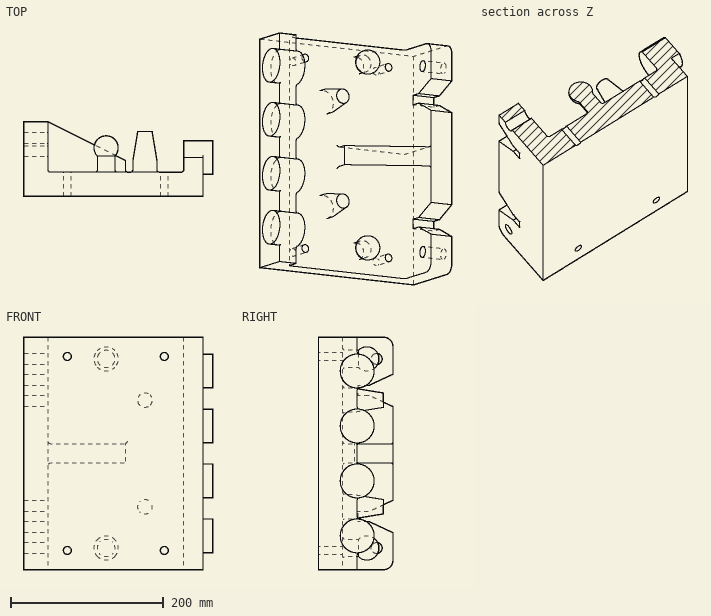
import cadquery as cq
import math

INCH = 25.4

plate_length = 9.25 * INCH
plate_height = 12.0 * INCH
plate_thickness = 1.25 * INCH
half_height = plate_height / 2
blend_radius = 0.125 * INCH

flange_thickness = 1.25 * INCH
flange_top = 3.85 * INCH
flange_corner_radius = 0.5 * INCH
trim_allowance = 0.5 * INCH
untrimmed_top = flange_top + trim_allowance

wall_thickness = 1.0 * INCH
wall_top = 2.0 * INCH
wall_inner_x = plate_length - wall_thickness

boss_diameter = 1.75 * INCH
boss_overhang = 0.5 * INCH
boss_count = 4
boss_end_offset = 1.75 * INCH
boss_pitch = (plate_height - 2 * boss_end_offset) / (boss_count - 1)

gusset_end_x = flange_thickness + 4.0 * INCH
gusset_toe_height = 0.6 * INCH
gusset_thickness = 1.0 * INCH

ball_diameter = 1.25 * INCH
ball_x = 4.25 * INCH
ball_y = 2.5 * INCH
ball_neck_diameter = 0.9 * INCH
ball_z = half_height - 1.125 * INCH
flange_hole_diameter = 0.5625 * INCH
flange_hole_y = 3.0 * INCH

pin_diameter = 1.25 * INCH
pin_tip_diameter = 0.75 * INCH
pin_collar_height = gusset_toe_height
pin_taper_height = 1.5 * INCH
pin_x = 6.25 * INCH
pin_z = half_height - 3.25 * INCH

slot_z = half_height - 2.75 * INCH
slot_width = 0.5 * INCH
slot_bottom = 2.05 * INCH
slot_throat_top = 2.6 * INCH
slot_flare_angle = 25.0

mount_hole_diameter = 0.4 * INCH
mount_hole_xs = (2.25 * INCH, 7.25 * INCH)
mount_hole_z = half_height - 1.0 * INCH


def make_channel():
    """Channel of flange, plate and wall, with blended inner corners and an untrimmed flange top."""
    body = (
        cq.Workplane("XY")
        .workplane(offset=-half_height)
        .moveTo(0, 0)
        .lineTo(plate_length, 0)
        .lineTo(plate_length, wall_top)
        .lineTo(wall_inner_x, wall_top)
        .lineTo(wall_inner_x, plate_thickness)
        .lineTo(flange_thickness, plate_thickness)
        .lineTo(flange_thickness, untrimmed_top)
        .lineTo(0, untrimmed_top)
        .close()
        .extrude(plate_height)
    )
    margin = blend_radius / 2
    inner_corners = cq.selectors.BoxSelector(
        (flange_thickness - margin, plate_thickness - margin, -margin),
        (wall_inner_x + margin, plate_thickness + margin, margin),
    )
    return body.edges("|Z").edges(inner_corners).fillet(blend_radius)


def add_gusset_block(channel):
    """Add the gusset as a full block and blend its sides and toe into the flange and plate."""
    block = cq.Workplane("XY").box(
        gusset_end_x, untrimmed_top, gusset_thickness, centered=(False, False, True)
    )
    side = gusset_thickness / 2
    margin = blend_radius / 2
    plate_seam = cq.selectors.BoxSelector(
        (flange_thickness - margin, plate_thickness - margin, -side - margin),
        (gusset_end_x + margin, plate_thickness + blend_radius, side + margin),
    )
    flange_seam = cq.selectors.BoxSelector(
        (flange_thickness - margin, plate_thickness + margin, -side - margin),
        (flange_thickness + blend_radius, untrimmed_top - margin, side + margin),
    )
    return channel.union(block).edges(plate_seam + flange_seam).fillet(blend_radius)


def make_top_trim():
    """Cutter that levels the flange top and slopes the gusset from there down to its toe."""
    return (
        cq.Workplane("XY")
        .moveTo(0, flange_top)
        .lineTo(flange_thickness, flange_top)
        .lineTo(gusset_end_x, plate_thickness + gusset_toe_height)
        .lineTo(gusset_end_x, untrimmed_top)
        .lineTo(0, untrimmed_top)
        .close()
        .extrude(half_height, both=True)
    )


def make_body():
    """Channel with its sloped gusset and rounded flange corners."""
    body = add_gusset_block(make_channel()).cut(make_top_trim())
    return body.edges("|X and (>Z or <Z)").edges(">Y").fillet(flange_corner_radius)


def make_bosses():
    """Row of round bosses, blended into the top of the wall on both sides."""
    radius = boss_diameter / 2
    blend_y = wall_top + blend_radius
    blend_reach = math.sqrt((radius + blend_radius) ** 2 - blend_radius**2)
    tangent_y = wall_top + blend_radius * radius / (radius + blend_radius)
    bosses = cq.Workplane("XY")
    for index in range(boss_count):
        z = -half_height + boss_end_offset + index * boss_pitch
        bosses = bosses.union(
            cq.Workplane("YZ", origin=(wall_inner_x, wall_top, z))
            .circle(radius)
            .extrude(wall_thickness + boss_overhang)
        )
        web = (
            cq.Workplane("YZ", origin=(wall_inner_x, 0, z))
            .center((wall_top + tangent_y) / 2, 0)
            .rect(tangent_y - wall_top, 2 * blend_reach)
            .extrude(wall_thickness)
        )
        for side in (-1, 1):
            web = web.cut(
                cq.Workplane("YZ", origin=(wall_inner_x, blend_y, z + side * blend_reach))
                .circle(blend_radius)
                .extrude(wall_thickness)
            )
        bosses = bosses.union(web)
    return bosses


def base_flare(x, z, radius):
    """Solid of revolution that blends a round post into the plate face."""
    outer = radius + blend_radius
    arc_step = blend_radius * math.sqrt(0.5)
    return (
        cq.Workplane("XY", origin=(x, plate_thickness, z))
        .moveTo(0, -blend_radius)
        .lineTo(outer, -blend_radius)
        .lineTo(outer, 0)
        .threePointArc((outer - arc_step, blend_radius - arc_step), (radius, blend_radius))
        .lineTo(0, blend_radius)
        .close()
        .revolve(360, (0, 0, 0), (0, 1, 0))
    )


def make_ball_stud(z):
    """Ball on a round neck."""
    neck = (
        cq.Workplane("XZ", origin=(ball_x, 0, z))
        .circle(ball_neck_diameter / 2)
        .extrude(-ball_y)
    )
    ball = (
        cq.Workplane("XY")
        .sphere(ball_diameter / 2)
        .rotate((0, 0, 0), (1, 0, 0), -90)
        .translate((ball_x, ball_y, z))
    )
    return neck.union(ball).union(base_flare(ball_x, z, ball_neck_diameter / 2))


def make_tapered_pin(z):
    """Cone standing on a short cylindrical collar."""
    pin = (
        cq.Workplane("XY", origin=(pin_x, plate_thickness, z))
        .moveTo(0, -blend_radius)
        .lineTo(pin_diameter / 2, -blend_radius)
        .lineTo(pin_diameter / 2, pin_collar_height)
        .lineTo(pin_tip_diameter / 2, pin_collar_height + pin_taper_height)
        .lineTo(0, pin_collar_height + pin_taper_height)
        .close()
        .revolve(360, (0, 0, 0), (0, 1, 0))
    )
    return pin.union(base_flare(pin_x, z, pin_diameter / 2))


def make_slot(z):
    """Cutter for one flared slot through the flange."""
    throat = slot_width / 2
    mouth = throat + (flange_top - slot_throat_top) * math.tan(math.radians(slot_flare_angle))
    return (
        cq.Workplane("YZ", origin=(0, 0, z))
        .moveTo(slot_bottom, -throat)
        .lineTo(slot_throat_top, -throat)
        .lineTo(flange_top, -mouth)
        .lineTo(flange_top, mouth)
        .lineTo(slot_throat_top, throat)
        .lineTo(slot_bottom, throat)
        .close()
        .extrude(flange_thickness)
    )


def make_flange_hole(z):
    """Cutter for one round hole through the flange."""
    return (
        cq.Workplane("YZ", origin=(0, flange_hole_y, z))
        .circle(flange_hole_diameter / 2)
        .extrude(flange_thickness)
    )


def make_mount_hole(x, z):
    """Cutter for one mounting hole through the plate."""
    return (
        cq.Workplane("XZ", origin=(x, 0, z))
        .circle(mount_hole_diameter / 2)
        .extrude(-plate_thickness)
    )


result = make_body().union(make_bosses())
for side in (-1, 1):
    result = result.union(make_ball_stud(side * ball_z))
    result = result.union(make_tapered_pin(side * pin_z))
    result = result.cut(make_slot(side * slot_z))
    result = result.cut(make_flange_hole(side * ball_z))
    for hole_x in mount_hole_xs:
        result = result.cut(make_mount_hole(hole_x, side * mount_hole_z))